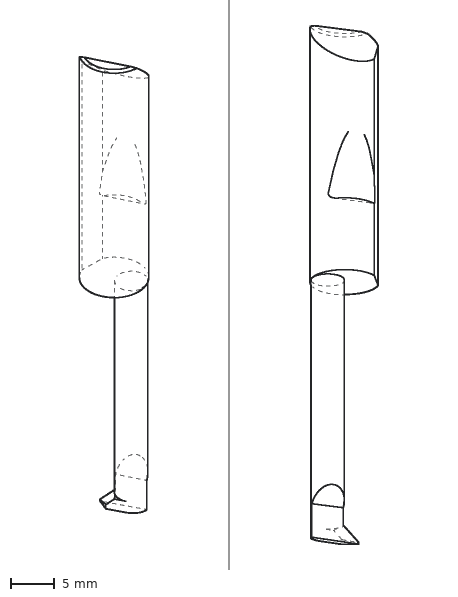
import cadquery as cq

length = 63.5
shank_diameter = 7.95
shank_radius = shank_diameter / 2
shank_bottom = length / 2
margin = 0.65

bevel_start_y = -2.2
rim_chamfer_height = 0.25
rim_chamfer_width = 0.4

flat_distance = 3.6
flat_normal_angle = 152.5

notch_floor_y = 2.65
notch_bottom = 40.5
notch_top = 49.3
notch_radius = 0.75

neck_radius = 1.9
neck_x = shank_radius - neck_radius

relief_top = 6.1
relief_bottom = relief_top - neck_radius

tip_x = -1.7
tip_edge_height = 0.2
head_top = 2.1
side_clearance = 1.4
slope_clearance = 0.5
end_clearance = 0.45
end_rise_angle = 1


def make_shank():
    shank = (
        cq.Workplane("XY", origin=(0, 0, shank_bottom))
        .circle(shank_radius)
        .extrude(length - shank_bottom)
        .faces(">Z")
        .chamfer(rim_chamfer_height, rim_chamfer_width)
    )
    outer_y = shank_radius + margin
    bevel_drop = outer_y - bevel_start_y
    bevel = (
        cq.Workplane("YZ")
        .polyline([(bevel_start_y, length), (outer_y, length), (outer_y, length - bevel_drop)])
        .close()
        .extrude(shank_diameter, both=True)
    )
    flat = (
        cq.Workplane("XY", origin=(0, 0, shank_bottom))
        .center(flat_distance + shank_radius / 2, 0)
        .rect(shank_radius, shank_diameter)
        .extrude(length - shank_bottom)
        .rotate((0, 0, 0), (0, 0, 1), flat_normal_angle)
    )
    notch = (
        cq.Workplane("YZ")
        .moveTo(shank_radius, notch_top)
        .lineTo(notch_floor_y, notch_bottom + notch_radius)
        .radiusArc((notch_floor_y + notch_radius, notch_bottom), -notch_radius)
        .lineTo(shank_radius, notch_bottom)
        .close()
        .extrude(shank_diameter, both=True)
    )
    return shank.cut(bevel).cut(flat).cut(notch)


def make_neck():
    neck = cq.Workplane("XY").center(neck_x, 0).circle(neck_radius).extrude(shank_bottom)
    outer_y = neck_radius + margin
    relief = (
        cq.Workplane("YZ")
        .polyline([(0, -margin), (outer_y, -margin), (outer_y, relief_bottom + outer_y), (0, relief_bottom)])
        .close()
        .extrude(shank_diameter, both=True)
    )
    return neck.cut(relief)


def head_outline(side_setback, slope_setback):
    """XZ outline of the head: short vertical tip side, then a 45 degree flank up to the top."""
    side_x = tip_x + side_setback
    side_top = tip_edge_height + side_setback - slope_setback
    slope_top_x = side_x + head_top - side_top
    return [(side_x, 0), (neck_x, 0), (neck_x, head_top), (slope_top_x, head_top), (side_x, side_top)]


def make_head():
    return (
        cq.Workplane("XZ")
        .polyline(head_outline(0, 0))
        .close()
        .workplane(offset=neck_radius)
        .polyline(head_outline(side_clearance, slope_clearance))
        .close()
        .loft(ruled=True)
    )


def make_end_clearance():
    """Wedge below the bottom face, rising away from the cutting edge and from the tip."""
    depth = 2 * neck_radius
    rise = depth * end_clearance / neck_radius
    return (
        cq.Workplane("YZ")
        .polyline([(0, 0), (-depth, rise), (-depth, -margin), (0, -margin)])
        .close()
        .extrude(shank_diameter)
        .rotate((0, 0, 0), (0, 1, 0), -end_rise_angle)
        .translate((tip_x, 0, 0))
    )


result = make_shank().union(make_neck()).union(make_head()).cut(make_end_clearance())